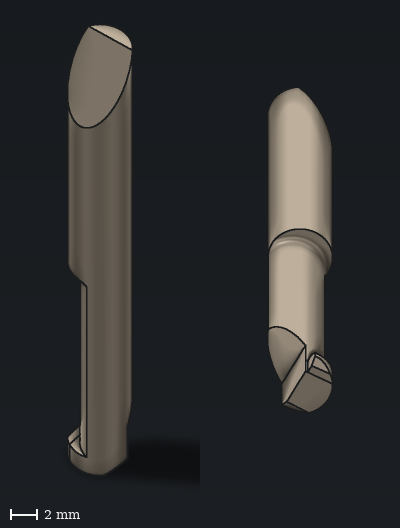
import cadquery as cq
import math

length = 44.5
diameter = 5.0
radius = diameter / 2

bevel_angle = math.radians(30)
top_land_edge_y = 1.3
rake_y = 0.22
rake_run_out_z = 4.25

neck_offset = 1.2
neck_left_x = neck_offset - radius
shoulder_z = 21.05
shoulder_fillet = 0.62

corner_chamfer = 0.8
end_relief = 0.1

foot_height = 1.85
tip_rake_y = 0.05
tip_chamfer_width = 0.6
tip_chamfer_height = 0.65
tip_land_end_y = -0.25

clearance = 2.22


def side_prism(points):
    """Extrude a (Y, Z) outline along X through the whole bar."""
    return cq.Workplane("YZ").polyline(points).close().extrude(radius + clearance, both=True)


def neck_cutter():
    """Ring outside the neck above the foot, with a rounded inner corner at the shoulder."""
    outer = radius + neck_offset + clearance
    blend = shoulder_fillet * (1 - math.sqrt(0.5))
    profile = (
        cq.Workplane("XZ")
        .moveTo(radius, foot_height)
        .lineTo(outer, foot_height)
        .lineTo(outer, shoulder_z)
        .lineTo(radius + shoulder_fillet, shoulder_z)
        .threePointArc(
            (radius + blend, shoulder_z - blend),
            (radius, shoulder_z - shoulder_fillet),
        )
        .close()
    )
    return profile.revolve(360, (0, 0, 0), (0, 1, 0)).translate((neck_offset, 0, 0))


def tip_seat_cutter():
    """Clears the space left of the foot, where the tip is seated."""
    width = radius + clearance
    seat = cq.Workplane("XY").rect(width, 2 * width).extrude(foot_height)
    return seat.translate((neck_left_x - width / 2, 0, 0))


def top_bevel_cutter():
    """Wedge that slants the top end down toward -Y."""
    outer_y = -radius - clearance
    drop = (top_land_edge_y - outer_y) / math.tan(bevel_angle)
    return side_prism([(top_land_edge_y, length), (outer_y, length), (outer_y, length - drop)])


def rake_cutter():
    """Removes the +Y half beside the tip and slants out above it."""
    outer_y = radius + clearance
    rise = (outer_y - rake_y) / math.tan(bevel_angle)
    return side_prism([
        (rake_y, -clearance),
        (outer_y, -clearance),
        (outer_y, rake_run_out_z + rise),
        (rake_y, rake_run_out_z),
    ])


def end_relief_cutter():
    """Thin wedge that slopes the end face upward toward -Y."""
    return side_prism([(rake_y, 0), (-radius, end_relief), (-radius, -clearance), (rake_y, -clearance)])


def corner_cutter():
    """Wedge that chamfers the +X corner of the lower end."""
    inner_x = radius - corner_chamfer - clearance
    outer_x = radius + clearance
    outline = [
        (inner_x, -clearance),
        (outer_x, -clearance),
        (outer_x, corner_chamfer + clearance),
    ]
    return cq.Workplane("XZ").polyline(outline).close().extrude(radius + clearance, both=True)


def make_bar():
    bar = cq.Workplane("XY").circle(radius).extrude(length)
    bar = bar.cut(neck_cutter())
    bar = bar.cut(tip_seat_cutter())
    bar = bar.cut(top_bevel_cutter())
    bar = bar.cut(rake_cutter())
    bar = bar.cut(end_relief_cutter())
    return bar.cut(corner_cutter())


def point_on_bar(y):
    """Point of the bar outline at height y on its -X side."""
    return (-math.sqrt(radius**2 - y**2), y)


def make_tip():
    """Segment of the bar outline with a flat back against the foot and chamfers at its -X end."""
    back_y = -math.sqrt(radius**2 - neck_left_x**2)
    land_end = point_on_bar(tip_land_end_y)
    plan = (
        cq.Workplane("XY")
        .moveTo(land_end[0], tip_rake_y)
        .lineTo(*land_end)
        .threePointArc(point_on_bar((tip_land_end_y + back_y) / 2), (neck_left_x, back_y))
        .lineTo(neck_left_x, tip_rake_y)
        .close()
        .extrude(foot_height)
    )
    front_profile = (
        cq.Workplane("XZ")
        .polyline([
            (neck_left_x, 0),
            (-radius + tip_chamfer_width, 0),
            (-radius, tip_chamfer_height),
            (-radius, foot_height - tip_chamfer_height),
            (-radius + tip_chamfer_width, foot_height),
            (neck_left_x, foot_height),
        ])
        .close()
        .extrude(radius + clearance, both=True)
    )
    return plan.intersect(front_profile).cut(end_relief_cutter())


bar = make_bar()
tip = make_tip()

result = cq.Compound.makeCompound([bar.val(), tip.val()])